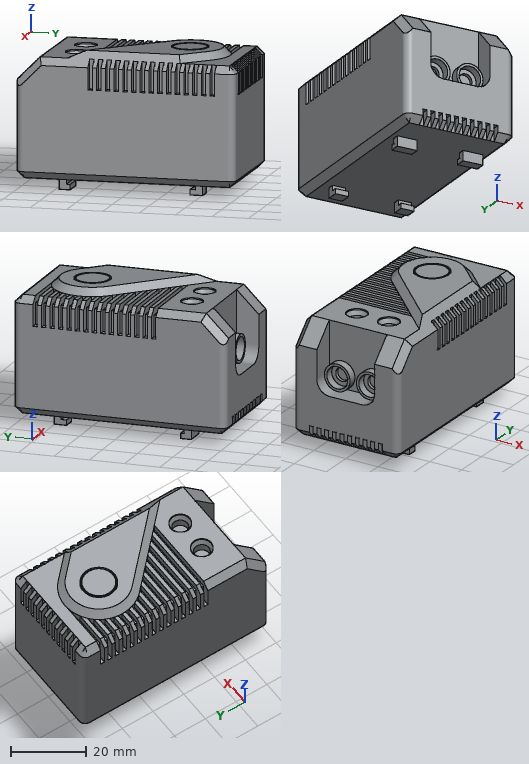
import cadquery as cq
import math

width = 33.0
length = 60.3
height = 33.0
edge = 2.0
slope = 6.3

side_x = width / 2
back_y = length / 2
front_y = -back_y

cap_radius = 11.0
cap_height = 2.0
cap_y = back_y - 16.5
cap_edge_x = side_x - edge
dial_outer_diameter = 10.0
dial_inner_diameter = 9.4
dial_chamfer = 0.2
dial_groove_depth = 0.6

slot_width = 1.2
side_slot_count = 15
side_slot_span = 34.8
slot_pitch = (side_slot_span - slot_width) / (side_slot_count - 1)
side_slot_setback = 5.6
side_slots_center_y = back_y - side_slot_setback - side_slot_span / 2
top_slot_drop = 8.0
back_slot_count = 11
front_slot_count = 10
front_slot_height = 3.9

terminal_spacing = 10.0
terminal_z = 17.95
sleeve_diameter = 8.0
sleeve_bore_diameter = 6.5
sleeve_length = 2.5
screw_diameter = 4.0
screw_depth = 1.0
access_y = back_y - 46.5
access_diameter = 4.5
access_mouth_diameter = 6.0
access_depth = 4.0
access_mouth_depth = 0.35
access_cone_half_angle = 30

front_foot_width = 6.0
back_foot_width = 4.0
foot_spacing = 20.0
foot_height = 3.0
foot_stem = 2.0
toe_height = 1.5
back_foot_y = back_y - 10.0
back_foot_length = 3.5
front_foot_y = back_y - 49.2
front_foot_length = 3.0

terminal_xs = (-terminal_spacing / 2, terminal_spacing / 2)
pocket_wall_y = front_y + slope


def block(x_range, y_range, z_range):
    """Box spanning the given (low, high) ranges."""
    size = [high - low for low, high in (x_range, y_range, z_range)]
    corner = (x_range[0], y_range[0], z_range[0])
    return cq.Workplane("XY").box(*size, centered=False).translate(corner)


def cylinder_y(x, z, diameter, start_y, end_y):
    """Cylinder along Y between two Y positions."""
    plane = cq.Workplane("XZ", origin=(x, start_y, z))
    return plane.circle(diameter / 2).extrude(start_y - end_y)


def slot_centers(count, middle=0.0):
    """Evenly pitched slot positions about a middle."""
    return [middle + (i - (count - 1) / 2) * slot_pitch for i in range(count)]


def make_corner_clip():
    """Upright block whose four corners are rods ending in 45 degree cones."""
    rod_x = side_x - edge
    rod_y = back_y - edge
    clip = block((-side_x, side_x), (-rod_y, rod_y), (0, height))
    clip = clip.union(block((-rod_x, rod_x), (front_y, back_y), (0, height)))
    for x in (-rod_x, rod_x):
        for y in (-rod_y, rod_y):
            corner = block(
                sorted((x, math.copysign(side_x, x))),
                sorted((y, math.copysign(back_y, y))),
                (0, height),
            )
            rod = (
                cq.Workplane("XZ", origin=(x, y, 0))
                .polyline([(0, 0), (edge, edge), (edge, height - edge), (0, height)])
                .close()
                .revolve(360, (0, 0), (0, 1))
            )
            clip = clip.union(rod.intersect(corner))
    return clip


def make_housing():
    """Chamfered block with a sloped front, its upright corners rounded."""
    profile = [
        (front_y, 0),
        (back_y, 0),
        (back_y, height),
        (front_y + slope, height),
        (front_y, height - slope),
    ]
    shell = cq.Workplane("YZ").polyline(profile).close().extrude(side_x, both=True)
    shell = shell.faces("<X or >X").edges("not |Z").chamfer(edge)
    bevelled_block = block((-side_x, side_x), (front_y, back_y), (0, height)).edges("|X").chamfer(edge)
    return shell.intersect(bevelled_block).intersect(make_corner_clip())


def cut_slots(body):
    """Slots along both sides, over the top up to the cap, and at the front and back."""
    half = slot_width / 2
    slot_z = (height - top_slot_drop, height)
    for y in slot_centers(side_slot_count, side_slots_center_y):
        slot_y = (y - half, y + half)
        top_end_x = max(0.0, cap_y - y)
        body = body.cut(block((-side_x, edge - side_x), slot_y, slot_z))
        body = body.cut(block((side_x - edge, side_x), slot_y, slot_z))
        body = body.cut(block((-side_x, top_end_x), slot_y, (height - edge, height)))
    for x in slot_centers(back_slot_count):
        body = body.cut(block((x - half, x + half), (back_y - edge, back_y), slot_z))
    for x in slot_centers(front_slot_count):
        front_slot_y = (front_y, front_y + edge)
        body = body.cut(block((x - half, x + half), front_slot_y, (0, front_slot_height)))
    return body


def make_cap():
    """Chamfered teardrop cap, rooted at the floor of the top slots, with a round dial in its top."""
    tangent = cap_radius * math.sqrt(0.5)
    back_reach = cap_radius * math.sqrt(2) - cap_edge_x
    front_reach = cap_radius * math.sqrt(2) + cap_edge_x
    outline = (
        cq.Workplane("XY", origin=(0, cap_y, height - edge))
        .moveTo(cap_edge_x, back_reach)
        .lineTo(tangent, tangent)
        .threePointArc((-tangent, tangent), (-tangent, -tangent))
        .lineTo(cap_edge_x, -front_reach)
        .close()
    )
    cap = outline.extrude(edge + cap_height).faces(">Z").chamfer(cap_height)
    dial_plane = cq.Workplane("XY", origin=(0, cap_y, height + cap_height - dial_groove_depth))
    recess = dial_plane.circle(dial_outer_diameter / 2).extrude(dial_groove_depth)
    dial = dial_plane.circle(dial_inner_diameter / 2).extrude(dial_groove_depth)
    return cap.cut(recess).union(dial.faces(">Z").chamfer(dial_chamfer))


def add_terminals(body):
    """Front pocket with two bored sleeves, and countersunk screw holes in the top."""
    radius = sleeve_diameter / 2
    pocket_half = terminal_spacing / 2 + radius
    pocket = block(
        (-pocket_half, pocket_half),
        (front_y, pocket_wall_y),
        (terminal_z - radius, height + radius),
    )
    body = body.cut(pocket.edges("|Y").fillet(radius))
    sleeve_end_y = pocket_wall_y - sleeve_length
    for x in terminal_xs:
        sleeve = cylinder_y(x, terminal_z, sleeve_diameter, pocket_wall_y, sleeve_end_y)
        bore = cylinder_y(x, terminal_z, sleeve_bore_diameter, pocket_wall_y, sleeve_end_y)
        screw_hole = cylinder_y(x, terminal_z, screw_diameter, pocket_wall_y + screw_depth, pocket_wall_y)
        body = body.union(sleeve).cut(bore).cut(screw_hole)
    mouth_radius = access_mouth_diameter / 2
    access_radius = access_diameter / 2
    cone_depth = (mouth_radius - access_radius) / math.tan(math.radians(access_cone_half_angle))
    access_profile = [
        (0, 0),
        (mouth_radius, 0),
        (mouth_radius, -access_mouth_depth),
        (access_radius, -access_mouth_depth - cone_depth),
        (access_radius, -access_depth),
        (0, -access_depth),
    ]
    for x in terminal_xs:
        plane = cq.Workplane("XZ", origin=(x, access_y, height))
        body = body.cut(plane.polyline(access_profile).close().revolve(360, (0, 0), (0, 1)))
    return body


def make_feet():
    """Two pairs of L-shaped hooks whose toes point at each other."""
    feet = cq.Workplane("XY")
    hooks = (
        (back_foot_y, back_foot_length, back_foot_width, -1),
        (front_foot_y, front_foot_length, front_foot_width, 1),
    )
    for y, foot_length, foot_width, toe_direction in hooks:
        stem_y = y + toe_direction * foot_stem
        toe_y = y + toe_direction * foot_length
        profile = [
            (y, 0),
            (y, -foot_height),
            (toe_y, -foot_height),
            (toe_y, toe_height - foot_height),
            (stem_y, toe_height - foot_height),
            (stem_y, 0),
        ]
        for x in (-foot_spacing / 2, foot_spacing / 2):
            plane = cq.Workplane("YZ", origin=(x, 0, 0))
            feet = feet.add(plane.polyline(profile).close().extrude(foot_width / 2, both=True))
    return feet.combine()


housing = cut_slots(make_housing()).union(make_cap())
result = add_terminals(housing).union(make_feet())